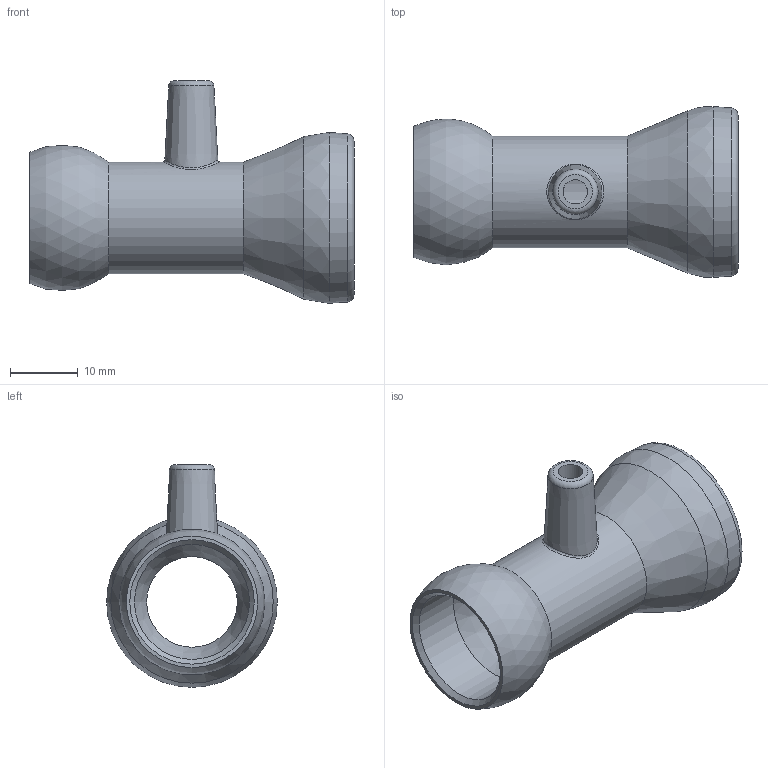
import cadquery as cq
import math

total_length = 47.9
nozzle_top = 20.275

ball_radius = 10.78
ball_center_x = 4.7

pipe_radius = 8.25
bore_radius = 6.7

shoulder_start_x = 40.5
shoulder_end_x = 44.2
bell_max_radius = 12.635
bell_cone_angle = math.radians(22.7)
bell_rim_angle = math.radians(4)
bell_rim_fillet = 1.1

mouth_radius = 9.2
mouth_depth = 0.7
counterbore_radius = 8.5
counterbore_end_x = 7.9
throat_x = 12.0

nozzle_x = 23.85
nozzle_tip_radius = 3.3
nozzle_taper = math.radians(3)
nozzle_root_radius = nozzle_tip_radius + nozzle_top * math.tan(nozzle_taper)
nozzle_hole_radius = 1.8
nozzle_tip_fillet = 0.8
nozzle_root_fillet = 0.3


def ball_profile_radius(x):
    return math.sqrt(ball_radius**2 - (x - ball_center_x) ** 2)


def revolve_about_x(profile):
    return profile.close().revolve(360, (0, 0, 0), (1, 0, 0))


def make_body():
    """Solid of revolution with the ball, the pipe and the flared bell."""
    ball_end_x = ball_center_x + math.sqrt(ball_radius**2 - pipe_radius**2)

    shoulder_length = shoulder_end_x - shoulder_start_x
    shoulder_radius = shoulder_length / (math.sin(bell_cone_angle) + math.sin(bell_rim_angle))
    shoulder_center_x = shoulder_end_x - shoulder_radius * math.sin(bell_rim_angle)
    shoulder_center_r = bell_max_radius - shoulder_radius
    shoulder_start_r = shoulder_center_r + shoulder_radius * math.cos(bell_cone_angle)
    shoulder_end_r = shoulder_center_r + shoulder_radius * math.cos(bell_rim_angle)
    rim_r = shoulder_end_r - (total_length - shoulder_end_x) * math.tan(bell_rim_angle)
    bell_start_x = shoulder_start_x - (shoulder_start_r - pipe_radius) / math.tan(bell_cone_angle)

    profile = (
        cq.Workplane("XY")
        .lineTo(0, ball_profile_radius(0))
        .threePointArc((ball_center_x, ball_radius), (ball_end_x, pipe_radius))
        .lineTo(bell_start_x, pipe_radius)
        .lineTo(shoulder_start_x, shoulder_start_r)
        .threePointArc((shoulder_center_x, bell_max_radius), (shoulder_end_x, shoulder_end_r))
        .lineTo(total_length, rim_r)
        .lineTo(total_length, 0)
    )
    return revolve_about_x(profile).faces(">X").edges().fillet(bell_rim_fillet)


def make_bore():
    """Through bore with a chamfered mouth and a counterbore in the ball end."""
    profile = (
        cq.Workplane("XY")
        .lineTo(0, mouth_radius)
        .lineTo(mouth_depth, counterbore_radius)
        .lineTo(counterbore_end_x, counterbore_radius)
        .lineTo(throat_x, bore_radius)
        .lineTo(total_length, bore_radius)
        .lineTo(total_length, 0)
    )
    return revolve_about_x(profile)


def make_nozzle():
    """Tapered nozzle with a rounded tip, starting on the pipe axis."""
    profile = (
        cq.Workplane("XZ")
        .lineTo(nozzle_root_radius, 0)
        .lineTo(nozzle_tip_radius, nozzle_top)
        .lineTo(0, nozzle_top)
        .close()
    )
    nozzle = profile.revolve(360, (0, 0, 0), (0, 1, 0))
    return nozzle.faces(">Z").edges().fillet(nozzle_tip_fillet).translate((nozzle_x, 0, 0))


def round_nozzle_root(part):
    """Fillet the joint between the nozzle and the pipe."""
    reach = nozzle_root_radius + nozzle_root_fillet
    root_box = cq.selectors.BoxSelector(
        (nozzle_x - reach, -reach, bore_radius),
        (nozzle_x + reach, reach, pipe_radius + nozzle_root_fillet),
        boundingbox=True,
    )
    return part.edges(root_box).fillet(nozzle_root_fillet)


nozzle_hole = cq.Workplane("XY").center(nozzle_x, 0).circle(nozzle_hole_radius).extrude(nozzle_top)

solid_fitting = round_nozzle_root(make_body().union(make_nozzle()))
result = solid_fitting.cut(make_bore()).cut(nozzle_hole)